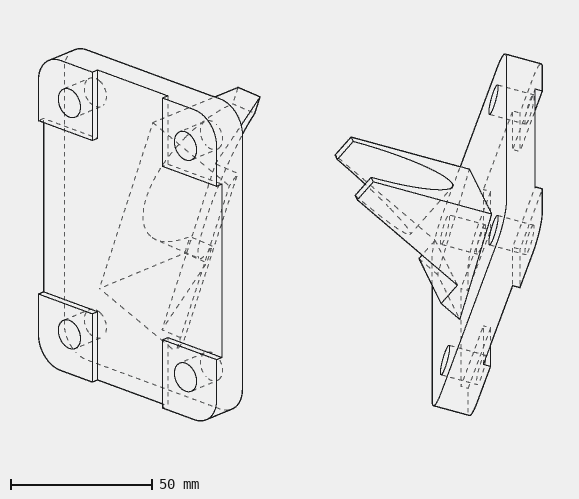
import cadquery as cq
import math

plate_width = 86.77
plate_height = 119.31
plate_back = 13.4
corner_radius = 10.8
pad_size = 26.3
pad_height = 2.7
hole_diameter = 10.8
hole_pitch_x = 56.5
hole_pitch_z = 89.0

overall_depth = 61.04
saddle_turn = 20.0
saddle_tilt = 25.0
saddle_width = 76.0
front_center_x = -13.25
front_center_z = 5.3
tip_thickness = 8.6
back_length = 47.7
step_width = 8.7
bore_diameter = 60.8

turn = math.radians(saddle_turn)
tilt = math.radians(saddle_tilt)

saddle_plane = cq.Plane(
    origin=(front_center_x, 0, front_center_z),
    xDir=(math.cos(turn), 0, -math.sin(turn)),
    normal=(math.sin(turn), 0, math.cos(turn)),
)
tip_front_y = overall_depth - tip_thickness * math.sin(tilt)


def make_plate():
    """Rounded plate relieved on its front so that only four corner pads stand proud."""
    plate = (
        cq.Workplane("XZ")
        .rect(plate_width, plate_height)
        .extrude(-plate_back)
        .edges("|Y")
        .fillet(corner_radius)
    )
    relief_width = plate_width - 2 * pad_size
    relief_height = plate_height - 2 * pad_size
    for width, height in ((relief_width, plate_height), (plate_width, relief_height)):
        relief = cq.Workplane("XZ").rect(width, height).extrude(-pad_height)
        plate = plate.cut(relief)
    holes = (
        cq.Workplane("XZ")
        .rect(hole_pitch_x, hole_pitch_z, forConstruction=True)
        .vertices()
        .circle(hole_diameter / 2)
        .extrude(-plate_back)
    )
    return plate.cut(holes)


def make_saddle_block():
    """Block with a square tip, a sloping back and a step near its foot."""
    peak_x = tip_thickness * math.cos(tilt)
    notch_x = peak_x + back_length * math.sin(tilt)
    notch_y = overall_depth - back_length * math.cos(tilt)
    step_x = notch_x + step_width * math.cos(tilt)
    step_y = notch_y + step_width * math.sin(tilt)
    heel_x = step_x + (step_y - plate_back) * math.tan(tilt)
    return (
        cq.Workplane(saddle_plane)
        .moveTo(0, plate_back)
        .lineTo(0, tip_front_y)
        .lineTo(peak_x, overall_depth)
        .lineTo(notch_x, notch_y)
        .lineTo(step_x, step_y)
        .lineTo(heel_x, plate_back)
        .close()
        .extrude(saddle_width / 2, both=True)
    )


def make_bore():
    """Cylinder whose axis lies along the middle of the tip face, leaving a half-round saddle."""
    axis_start = saddle_plane.toWorldCoords((0, tip_front_y, 0))
    axis_tip = saddle_plane.toWorldCoords((math.cos(tilt), tip_front_y + math.sin(tilt), 0))
    axis_direction = axis_tip - axis_start
    bore_reach = bore_diameter
    bore_start = axis_start - axis_direction * bore_reach
    bore_plane = cq.Plane(origin=bore_start, xDir=saddle_plane.yDir, normal=axis_direction)
    return cq.Workplane(bore_plane).circle(bore_diameter / 2).extrude(2 * bore_reach)


saddle = make_saddle_block().cut(make_bore())
result = make_plate().union(saddle)